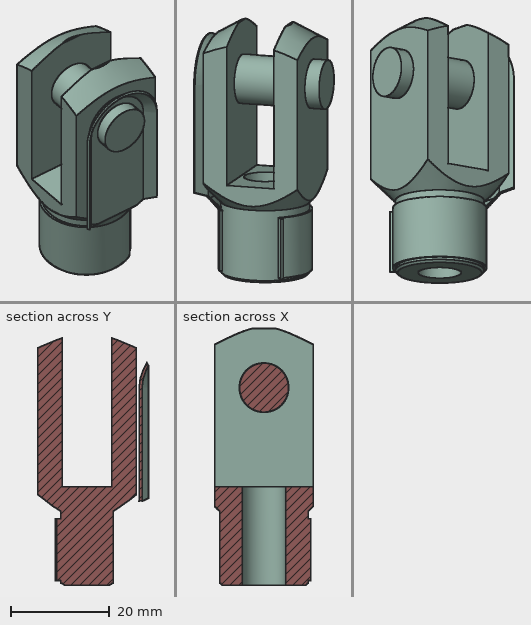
import cadquery as cq
import math

BODY_WIDTH = 20.0
BODY_HEIGHT = 52.0
HALF_WIDTH = BODY_WIDTH / 2
CORNER_RADIUS = HALF_WIDTH * math.sqrt(2)
SLOT_WIDTH = 10.0
SLOT_FLOOR_Z = 20.0
TOP_CONE_DROP = 5.0
TOP_CONE_ANGLE = 30.0
SHANK_RADIUS = 9.0
SHANK_TOP_Z = 15.0
SHANK_CHAMFER = 0.5
BORE_DIAMETER = 8.7

PIN_DIAMETER = 10.0
PIN_LENGTH = 26.0
PIN_Z = 40.0

SHEET = 0.5
SLEEVE_BOTTOM_Z = 1.0
SLEEVE_TOP_Z = 13.5
SLEEVE_RADIUS = SHANK_RADIUS + SHEET
SLEEVE_END_ANGLE = 128.0
LIP_LENGTH = 1.0
STRAP_HALF_WIDTH = 5.0
STRAP_TOP_Z = 16.0
PLATE_RADIUS = 6.75
FLANGE_REACH = 2.1
PLATE_BOTTOM_ANGLE = 25.0


def make_body():
    """Square bar limited by a turned envelope, then slotted and bored."""
    top_radius = CORNER_RADIUS - TOP_CONE_DROP / math.tan(math.radians(TOP_CONE_ANGLE))
    lower_cone_top_z = SHANK_TOP_Z + CORNER_RADIUS - SHANK_RADIUS
    envelope = (
        cq.Workplane("XZ")
        .moveTo(0, 0)
        .lineTo(SHANK_RADIUS - SHANK_CHAMFER, 0)
        .lineTo(SHANK_RADIUS, SHANK_CHAMFER)
        .lineTo(SHANK_RADIUS, SHANK_TOP_Z)
        .lineTo(CORNER_RADIUS, lower_cone_top_z)
        .lineTo(CORNER_RADIUS, BODY_HEIGHT - TOP_CONE_DROP)
        .lineTo(top_radius, BODY_HEIGHT)
        .lineTo(0, BODY_HEIGHT)
        .close()
        .revolve(360, (0, 0), (0, 1))
    )
    bar = cq.Workplane("XY").rect(BODY_WIDTH, BODY_WIDTH).extrude(BODY_HEIGHT)
    slot = (
        cq.Workplane("XY")
        .workplane(offset=SLOT_FLOOR_Z)
        .rect(SLOT_WIDTH, BODY_WIDTH)
        .extrude(BODY_HEIGHT - SLOT_FLOOR_Z)
    )
    bore = cq.Workplane("XY").circle(BORE_DIAMETER / 2).extrude(SLOT_FLOOR_Z)
    return bar.intersect(envelope).cut(slot).cut(bore)


def make_pin():
    return (
        cq.Workplane("YZ")
        .workplane(offset=-PIN_LENGTH / 2)
        .center(0, PIN_Z)
        .circle(PIN_DIAMETER / 2)
        .extrude(PIN_LENGTH)
    )


def polar(radius, angle):
    """Point in the XY plane at an angle in degrees from +X."""
    return (radius * math.cos(math.radians(angle)), radius * math.sin(math.radians(angle)))


def make_sleeve():
    """Open ring around the shank, from the strap's +Y edge to the free end."""
    strap_edge_angle = math.degrees(math.asin(STRAP_HALF_WIDTH / SLEEVE_RADIUS))
    sweep_middle = (SLEEVE_END_ANGLE + 360 + strap_edge_angle) / 2
    height = SLEEVE_TOP_Z - SLEEVE_BOTTOM_Z
    ring = (
        cq.Workplane("XY")
        .workplane(offset=SLEEVE_BOTTOM_Z)
        .moveTo(*polar(SHANK_RADIUS, SLEEVE_END_ANGLE))
        .lineTo(*polar(SLEEVE_RADIUS, SLEEVE_END_ANGLE))
        .threePointArc(polar(SLEEVE_RADIUS, sweep_middle), polar(SLEEVE_RADIUS, strap_edge_angle))
        .lineTo(*polar(SHANK_RADIUS, strap_edge_angle))
        .threePointArc(polar(SHANK_RADIUS, sweep_middle), polar(SHANK_RADIUS, SLEEVE_END_ANGLE))
        .close()
        .extrude(height)
    )
    lip = (
        cq.Workplane("XY")
        .box(LIP_LENGTH + SHEET, SHEET, height, centered=False)
        .translate((SHANK_RADIUS, -SHEET, SLEEVE_BOTTOM_Z))
        .rotate((0, 0, 0), (0, 0, 1), SLEEVE_END_ANGLE)
    )
    return ring.union(lip)


def make_strap():
    """Ramp from the sleeve's curved top edge to the flat plate beside the body."""
    edge_outer_x = math.sqrt(SLEEVE_RADIUS**2 - STRAP_HALF_WIDTH**2)
    edge_inner_x = math.sqrt(SHANK_RADIUS**2 - STRAP_HALF_WIDTH**2)
    return (
        cq.Workplane("XY")
        .workplane(offset=SLEEVE_TOP_Z)
        .moveTo(edge_inner_x, -STRAP_HALF_WIDTH)
        .lineTo(edge_outer_x, -STRAP_HALF_WIDTH)
        .threePointArc((SLEEVE_RADIUS, 0), (edge_outer_x, STRAP_HALF_WIDTH))
        .lineTo(edge_inner_x, STRAP_HALF_WIDTH)
        .threePointArc((SHANK_RADIUS, 0), (edge_inner_x, -STRAP_HALF_WIDTH))
        .close()
        .workplane(offset=STRAP_TOP_Z - SLEEVE_TOP_Z)
        .moveTo(HALF_WIDTH, -STRAP_HALF_WIDTH)
        .lineTo(HALF_WIDTH + SHEET, -STRAP_HALF_WIDTH)
        .lineTo(HALF_WIDTH + SHEET, STRAP_HALF_WIDTH)
        .lineTo(HALF_WIDTH, STRAP_HALF_WIDTH)
        .close()
        .loft(ruled=True)
    )


def plate_section():
    """Half section of the flanged plate at the height of the pin axis."""
    rim_step = SHEET / math.sqrt(2)
    inner_bend_radius = PLATE_RADIUS + SHEET - SHEET * math.sqrt(2)
    rim_x = HALF_WIDTH + FLANGE_REACH
    rim_radius = PLATE_RADIUS + FLANGE_REACH
    return (
        cq.Workplane("XY")
        .workplane(offset=PIN_Z)
        .moveTo(HALF_WIDTH, 0)
        .lineTo(HALF_WIDTH, PLATE_RADIUS)
        .lineTo(rim_x, rim_radius)
        .lineTo(rim_x + rim_step, rim_radius - rim_step)
        .lineTo(HALF_WIDTH + SHEET, inner_bend_radius)
        .lineTo(HALF_WIDTH + SHEET, 0)
        .close()
    )


def make_plate():
    """Plate on the +X side, its flange round over the pin and straight below it."""
    dome = plate_section().revolve(180, (0, 0), (1, 0))
    side = plate_section().extrude(STRAP_TOP_Z - PIN_Z)
    plate = dome.union(side).union(side.mirror("XZ"))

    edge_run = BODY_WIDTH - STRAP_HALF_WIDTH
    edge_top_z = STRAP_TOP_Z + edge_run * math.tan(math.radians(PLATE_BOTTOM_ANGLE))
    trim = (
        cq.Workplane("YZ")
        .moveTo(STRAP_HALF_WIDTH, STRAP_TOP_Z)
        .lineTo(BODY_WIDTH, edge_top_z)
        .lineTo(BODY_WIDTH, STRAP_TOP_Z)
        .close()
        .extrude(BODY_WIDTH)
    )
    return plate.cut(trim).cut(trim.mirror("XZ"))


result = (
    make_body()
    .union(make_pin())
    .union(make_sleeve())
    .union(make_strap())
    .union(make_plate())
)